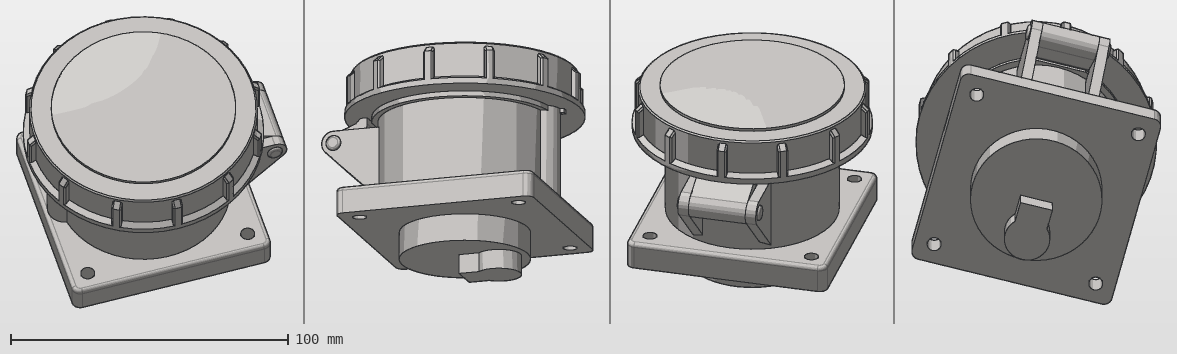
import cadquery as cq
import math


plate_side = 74.6
plate_height = 10.0
plate_corner_radius = 3.1
plate_edge_radius = 1.5
screw_hole_diameter = 5.0
screw_hole_spacing = 60.3

barrel_radius = 31.4
collar_radius = 33.7
collar_height = 1.9
collar_flat_y = 32.2
key_boss_radius = 6.4
key_boss_front_y = -36.0

rear_body_radius = 23.7
rear_body_height = 9.95
outlet_height = 7.1
outlet_radius = 8.2
outlet_center_y = -12.9
outlet_neck_width = 11.9
outlet_neck_end_y = 0.3

overall_depth = 93.0
hinge_y = 45.1
hinge_z = 33.8
lug_outer_width = 29.0
arm_width = 21.2
lug_foot_y = 28.0
lug_foot_z = 11.4
pin_radius = 2.8
pin_head_height = 0.9
pin_head_rounding = 0.88

ring_bottom_z = 43.3
ring_top_z = 59.6
ring_diameter = 86.8
ring_wall_radius = 41.1
ring_top_chamfer = 0.6
flange_edge_height = 2.1
flange_slope_height = 1.2
dome_radius = 33.3
dome_step_height = 1.0
dome_rise = 3.6

rib_count = 12
rib_width = 3.5
rib_edge_chamfer = 0.6
rib_top_z = 58.1
rib_slope_drop = 2.0
rib_root_depth = 0.9
rib_overrun = 0.1

arm_inner_y = 33.6
arm_shoulder_y = 37.9
arm_shoulder_drop = 1.9
arm_knee_drop = 2.3
arm_knee_radius = 3.0
arm_knee_turn = 45
tab_width = 2.2
tab_height = 1.5
tab_front_y = -37.6

ring_radius = ring_diameter / 2
hinge_radius = overall_depth - ring_radius - hinge_y
collar_bottom_z = ring_bottom_z - collar_height
key_boss_y = key_boss_front_y + key_boss_radius
flange_top_z = ring_bottom_z + flange_edge_height
lug_thickness = (lug_outer_width - arm_width) / 2


def tangent_point(point_y, point_z, side):
    """Point where a line from (point_y, point_z) touches the hinge circle; side is +1 or -1."""
    dy = point_y - hinge_y
    dz = point_z - hinge_z
    angle = math.atan2(dz, dy) + side * math.acos(hinge_radius / math.hypot(dy, dz))
    return hinge_y + hinge_radius * math.cos(angle), hinge_z + hinge_radius * math.sin(angle)


def cylinder(radius, bottom_z, top_z, center_y=0):
    return cq.Workplane("XY", origin=(0, center_y, bottom_z)).circle(radius).extrude(top_z - bottom_z)


def hinge_rod(length):
    """Rod of the pin's diameter along the hinge axis, centered on X = 0."""
    rod = cq.Workplane("YZ").center(hinge_y, hinge_z).circle(pin_radius)
    return rod.extrude(length / 2, both=True)


def make_plate():
    """Square plate with rounded corners and top edge and four through holes."""
    plate = cq.Workplane("XY").rect(plate_side, plate_side).extrude(plate_height)
    plate = plate.edges("|Z").fillet(plate_corner_radius)
    plate = plate.faces(">Z").edges().fillet(plate_edge_radius)
    holes = (
        cq.Workplane("XY")
        .rect(screw_hole_spacing, screw_hole_spacing, forConstruction=True)
        .vertices()
        .circle(screw_hole_diameter / 2)
        .extrude(plate_height)
    )
    return plate.cut(holes)


def make_collar():
    """Collar under the cover, cut flat at the back to clear the hinge arm."""
    collar = cylinder(collar_radius, collar_bottom_z, ring_bottom_z)
    clearance = cq.Workplane("XY").box(
        2 * collar_radius, collar_radius, collar_height, centered=(True, False, False)
    )
    return collar.cut(clearance.translate((0, collar_flat_y, collar_bottom_z)))


def make_outlet():
    """Keyhole-shaped outlet under the rear body: a round end with a straight neck."""
    top_z = -rear_body_height
    neck = cq.Workplane("XY").box(
        outlet_neck_width, outlet_neck_end_y - outlet_center_y, outlet_height, centered=(True, False, False)
    ).translate((0, outlet_center_y, top_z - outlet_height))
    return cylinder(outlet_radius, top_z - outlet_height, top_z, outlet_center_y).union(neck)


def make_lug(start_x):
    """Hinge lug: flat top, round nose about the hinge axis, sloping underside."""
    lower_tangent = tangent_point(lug_foot_y, lug_foot_z, 1)
    root_y = barrel_radius / 2
    return (
        cq.Workplane("YZ", origin=(start_x, 0, 0))
        .moveTo(root_y, lug_foot_z)
        .lineTo(lug_foot_y, lug_foot_z)
        .lineTo(*lower_tangent)
        .threePointArc((hinge_y + hinge_radius, hinge_z), (hinge_y, hinge_z + hinge_radius))
        .lineTo(root_y, hinge_z + hinge_radius)
        .close()
        .extrude(lug_thickness)
    )


def make_housing():
    """Plate, barrel, collar, key boss, rear body, outlet and two hinge lugs in one body."""
    housing = make_plate()
    housing = housing.union(cylinder(barrel_radius, plate_height, ring_bottom_z))
    housing = housing.union(make_collar())
    key_boss_foot_z = plate_height - plate_edge_radius
    housing = housing.union(cylinder(key_boss_radius, key_boss_foot_z, ring_bottom_z, key_boss_y))
    housing = housing.union(cylinder(rear_body_radius, -rear_body_height, 0))
    housing = housing.union(make_outlet())
    for start_x in (-lug_outer_width / 2, arm_width / 2):
        housing = housing.union(make_lug(start_x))
    return housing.cut(hinge_rod(lug_outer_width))


def make_cover_blank():
    """Revolved cover before the grip pockets are cut: ring, flat rim and shallow spherical dome."""
    dome_edge_z = ring_top_z + dome_step_height
    sphere_radius = (dome_radius**2 + dome_rise**2) / (2 * dome_rise)
    half_dome = dome_radius / 2
    sphere_center_z = dome_edge_z + dome_rise - sphere_radius
    half_dome_z = sphere_center_z + math.sqrt(sphere_radius**2 - half_dome**2)
    return (
        cq.Workplane("XZ")
        .moveTo(0, ring_bottom_z)
        .lineTo(ring_radius, ring_bottom_z)
        .lineTo(ring_radius, rib_top_z - rib_slope_drop)
        .lineTo(ring_wall_radius, rib_top_z)
        .lineTo(ring_wall_radius, ring_top_z - ring_top_chamfer)
        .lineTo(ring_wall_radius - ring_top_chamfer, ring_top_z)
        .lineTo(dome_radius, ring_top_z)
        .lineTo(dome_radius, dome_edge_z)
        .threePointArc((half_dome, half_dome_z), (0, dome_edge_z + dome_rise))
        .close()
        .revolve(360, (0, 0, 0), (0, 1, 0))
    )


def make_pocket_ring():
    """Ring of space outside the wall and above the flange, whose top slopes inward."""
    overrun = 2 * rib_overrun
    outside_radius = ring_radius + overrun
    flange_slope = flange_slope_height / (ring_radius - ring_wall_radius)
    return (
        cq.Workplane("XZ")
        .moveTo(outside_radius, flange_top_z - flange_slope * overrun)
        .lineTo(ring_wall_radius, flange_top_z + flange_slope_height)
        .lineTo(ring_wall_radius, ring_top_z - ring_top_chamfer)
        .lineTo(outside_radius, ring_top_z - ring_top_chamfer)
        .close()
        .revolve(360, (0, 0, 0), (0, 1, 0))
    )


def make_rib():
    """Rib-shaped block on the +X side with chamfered edges, overrunning the ring's outer surfaces."""
    root_radius = ring_wall_radius - rib_root_depth
    outer_radius = ring_radius + rib_overrun
    slope = rib_slope_drop / (ring_radius - ring_wall_radius)
    wall_top_z = rib_top_z + rib_overrun * math.hypot(1, slope)
    rib = (
        cq.Workplane("XZ")
        .moveTo(root_radius, ring_bottom_z)
        .lineTo(outer_radius, ring_bottom_z)
        .lineTo(outer_radius, wall_top_z - slope * (outer_radius - ring_wall_radius))
        .lineTo(root_radius, wall_top_z + slope * rib_root_depth)
        .close()
        .extrude(rib_width / 2, both=True)
    )
    outer_edges = rib.edges("|Z and >X")
    slope_edges = rib.faces(">Z").edges("not |Y").edges("not |Z")
    return rib.newObject(outer_edges.vals() + slope_edges.vals()).chamfer(rib_edge_chamfer + rib_overrun)


def knee_point(turn):
    """Point on the rounded inner knee of the arm after turning that many degrees from vertical."""
    angle = math.radians(turn)
    point_y = arm_inner_y + arm_knee_radius * (1 - math.cos(angle))
    point_z = ring_bottom_z - arm_knee_drop - arm_knee_radius * math.sin(angle)
    return point_y, point_z


def make_arm():
    """Hinge arm from the underside of the ring down to the hinge pin, between the lugs."""
    shoulder_z = ring_bottom_z - arm_shoulder_drop
    upper_tangent = tangent_point(arm_shoulder_y, shoulder_z, -1)
    knee_middle = knee_point(arm_knee_turn / 2)
    knee_end = knee_point(arm_knee_turn)
    lower_tangent = tangent_point(*knee_end, 1)
    arm = (
        cq.Workplane("YZ")
        .moveTo(*upper_tangent)
        .lineTo(arm_shoulder_y, shoulder_z)
        .lineTo(arm_shoulder_y - arm_shoulder_drop, ring_bottom_z)
        .lineTo(arm_inner_y, ring_bottom_z)
        .lineTo(*knee_point(0))
        .threePointArc(knee_middle, knee_end)
        .lineTo(*lower_tangent)
        .threePointArc((hinge_y + hinge_radius, hinge_z), upper_tangent)
        .close()
        .extrude(arm_width / 2, both=True)
    )
    return arm.cut(hinge_rod(lug_outer_width))


def make_stop_tab():
    """Tab hanging from the ring beside the front of the key boss."""
    tab = cq.Workplane("XY").box(
        tab_width, key_boss_front_y - tab_front_y, tab_height, centered=(False, False, False)
    )
    return tab.translate((0, tab_front_y, ring_bottom_z - tab_height))


def make_cover():
    """Grip ring with pockets between its ribs, dome, hinge arm and stop tab in one body."""
    pockets = make_pocket_ring()
    for index in range(rib_count):
        pockets = pockets.cut(make_rib().rotate((0, 0, 0), (0, 0, 1), index * 360 / rib_count))
    return make_cover_blank().cut(pockets).union(make_arm()).union(make_stop_tab())


def make_hinge_pin():
    """Pin through both lugs and the arm, with a rounded head standing proud at each end."""
    pin = hinge_rod(lug_outer_width + 2 * pin_head_height)
    return pin.faces("<X or >X").edges().fillet(pin_head_rounding)


housing = make_housing()
cover = make_cover()
hinge_pin = make_hinge_pin()

result = cq.Compound.makeCompound([housing.val(), cover.val(), hinge_pin.val()])